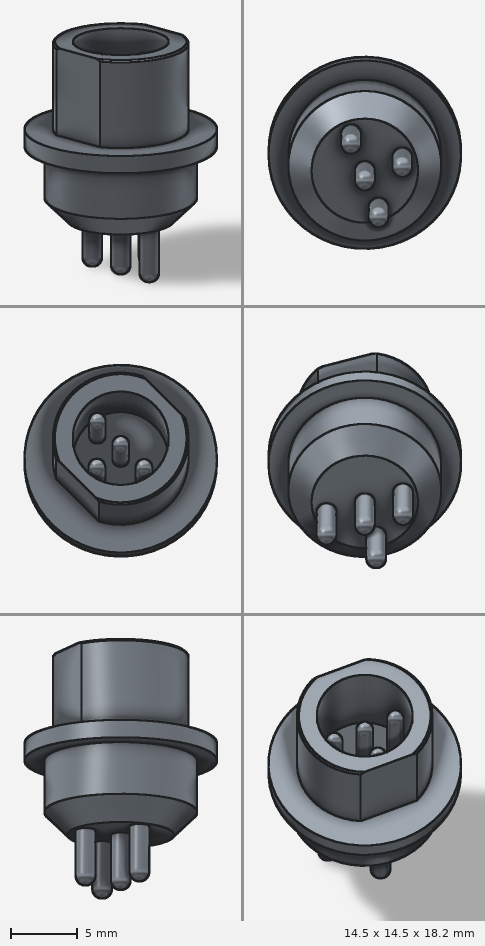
import cadquery as cq

flange_thickness = 1.35
plug_height = 6.85
plug_top = flange_thickness + plug_height
barrel_height = 4.0
taper_height = 1.75
body_bottom = -(barrel_height + taper_height)

flange_diameter = 14.48
plug_diameter = 10.2
plug_flat_width = 9.1
plug_chamfer = 0.15
barrel_diameter = 11.5
taper_end_diameter = 8.0

socket_diameter = 7.2
socket_depth = 6.85

contact_diameter = 1.25
contact_spacing = 2.5
contact_height = 5.45
tail_diameter = 1.5
tail_spacing = 3.0
tail_length = 4.25
pin_directions = [(0, 0), (-1, 0), (1, 0), (0, 1)]


def make_plug():
    """Round plug with a chamfered rim, cut by flats facing +Y and -Y."""
    plug = (
        cq.Workplane("XY")
        .workplane(offset=flange_thickness)
        .circle(plug_diameter / 2)
        .extrude(plug_height)
        .faces(">Z")
        .chamfer(plug_chamfer)
    )
    flats = (
        cq.Workplane("XY")
        .workplane(offset=flange_thickness)
        .rect(plug_diameter, plug_flat_width)
        .extrude(plug_height)
    )
    return plug.intersect(flats)


def make_flange_and_barrel():
    """Flange, straight barrel and tapered end as one turned profile."""
    return (
        cq.Workplane("XZ")
        .moveTo(0, flange_thickness)
        .lineTo(flange_diameter / 2, flange_thickness)
        .lineTo(flange_diameter / 2, 0)
        .lineTo(barrel_diameter / 2, 0)
        .lineTo(barrel_diameter / 2, -barrel_height)
        .lineTo(taper_end_diameter / 2, body_bottom)
        .lineTo(0, body_bottom)
        .close()
        .revolve(360, (0, 0, 0), (0, 1, 0))
    )


def make_round_ended_pins(diameter, spacing, base_z, tip_z):
    """Pins from base_z to a hemispherical tip at tip_z, above or below the base."""
    radius = diameter / 2
    dome_z = tip_z - radius if tip_z > base_z else tip_z + radius
    pin = (
        cq.Workplane("XY")
        .workplane(offset=base_z)
        .circle(radius)
        .extrude(dome_z - base_z)
        .union(cq.Workplane("XY").sphere(radius).translate((0, 0, dome_z)))
    )
    pins = cq.Workplane("XY")
    for x_direction, y_direction in pin_directions:
        pins = pins.add(pin.translate((x_direction * spacing, y_direction * spacing, 0)))
    return pins.combine()


socket_floor = plug_top - socket_depth
socket = (
    cq.Workplane("XY")
    .workplane(offset=socket_floor)
    .circle(socket_diameter / 2)
    .extrude(socket_depth)
)
pin_root = 0.5
contacts = make_round_ended_pins(
    contact_diameter, contact_spacing, socket_floor - pin_root, socket_floor + contact_height
)
tails = make_round_ended_pins(
    tail_diameter, tail_spacing, body_bottom + pin_root, body_bottom - tail_length
)

body = make_flange_and_barrel().union(make_plug()).cut(socket)
result = body.union(contacts).union(tails)